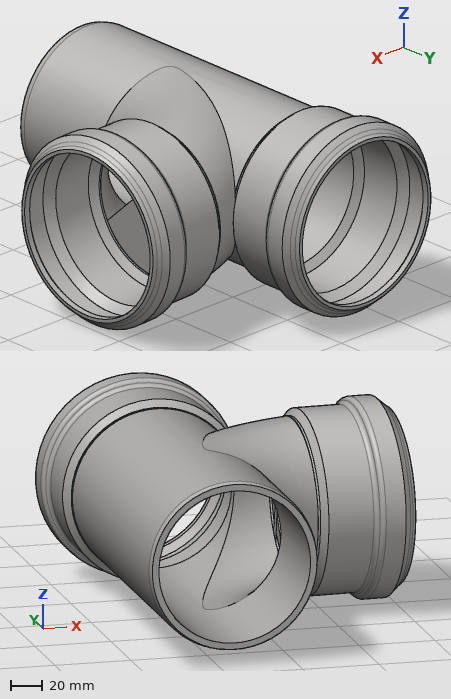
import cadquery as cq
import math

run_length = 260.5
pipe_radius = 110.5 / 2
bore_radius = 99.8 / 2
wall = pipe_radius - bore_radius
spigot_chamfer_length = 4.5
spigot_chamfer_depth = 1.0

neck_radius = 111.2 / 2
barrel_radius = 120.4 / 2
bead_radius = 129.7 / 2
socket_bore_radius = 110.7 / 2
groove_radius = 120.4 / 2
mouth_radius = 57.8
mouth_step_radius = 59.5
mouth_step_depth = 2.3
lip_radius = 61.5
lip_depth = 4.7
bead_start = 8.5
bead_end = 22.0
barrel_start = 28.7
barrel_end = 58.5
neck_start = 62.8
socket_length = 64.3

branch_tilt = 2.5
branch_height = 146.7
branch_length = 141.7

bend_center_x = 112.0
bend_center_y = 32.5
bend_radius = 123.0
bend_half_width = 53.5
bend_half_depth = 110.2 / 2
bend_start_angle = 65.0

tilt = math.radians(branch_tilt)
branch_direction = cq.Vector(math.cos(tilt), math.sin(tilt), 0)
branch_root = cq.Vector(0, branch_height, 0)
branch_mouth = branch_root + branch_direction * branch_length
branch_neck = branch_root + branch_direction * (branch_length - socket_length)


def turned(outline):
    """Solid turned about Y from an open outline in the XY plane that starts and ends on the axis."""
    return outline.close().revolve(360, (0, 0, 0), (0, 1, 0))


def socket_outside():
    """Outer body of a socket along Y, with its mouth at Y = 0 and its neck below."""
    shoulder_middle = ((bead_radius + barrel_radius) / 2, -(bead_end + barrel_start) / 2)
    return turned(
        cq.Workplane("XY")
        .lineTo(mouth_radius, 0)
        .lineTo(mouth_step_radius, -mouth_step_depth)
        .lineTo(lip_radius, -lip_depth)
        .lineTo(bead_radius, -bead_start)
        .lineTo(bead_radius, -bead_end)
        .tangentArcPoint(shoulder_middle, relative=False)
        .tangentArcPoint((barrel_radius, -barrel_start), relative=False)
        .lineTo(barrel_radius, -barrel_end)
        .lineTo(neck_radius, -neck_start)
        .lineTo(neck_radius, -socket_length)
        .lineTo(0, -socket_length)
    )


def socket_inside():
    """Cavity of a socket: seal groove under the bead, plain bore, and a cone down to the pipe bore."""
    return turned(cq.Workplane("XY").polyline([
        (0, 0),
        (socket_bore_radius, 0),
        (socket_bore_radius, -lip_depth),
        (groove_radius, -bead_start),
        (groove_radius, -bead_end),
        (socket_bore_radius, -barrel_start),
        (socket_bore_radius, -barrel_end),
        (bore_radius, -neck_start),
        (bore_radius, -socket_length),
        (0, -socket_length),
    ]))


def on_run(socket):
    """Place a socket at the top end of the run."""
    return socket.translate((0, run_length, 0))


def on_branch(socket):
    """Turn a socket from Y to the branch direction and place it at the branch mouth."""
    return socket.rotate((0, 0, 0), (0, 0, 1), branch_tilt - 90).translate(branch_mouth)


def bend(inset):
    """Bend from inside the run up to the branch neck, with its section shrunk by the inset."""
    start = math.radians(bend_start_angle)
    outward = cq.Vector(-math.sin(start), math.cos(start), 0)
    center = cq.Vector(bend_center_x, bend_center_y, 0)
    section_plane = cq.Plane(
        origin=center + outward * bend_radius,
        xDir=outward,
        normal=(math.cos(start), math.sin(start), 0),
    )
    body = (
        cq.Workplane(section_plane)
        .ellipse(bend_half_width - inset, bend_half_depth - inset)
        .revolve(bend_start_angle, (-bend_radius, 2.5, 0), (-bend_radius, 0, 0))
    )
    neck_plane = cq.Plane(origin=branch_neck, xDir=(0, 0, 1), normal=branch_direction)
    beyond_neck = cq.Workplane(neck_plane).rect(run_length, run_length).extrude(run_length)
    return body.cut(beyond_neck)


run_outside = turned(cq.Workplane("XY").polyline([
    (0, 0),
    (pipe_radius - spigot_chamfer_depth, 0),
    (pipe_radius, spigot_chamfer_length),
    (pipe_radius, run_length - socket_length),
    (0, run_length - socket_length),
]))
run_bore = cq.Workplane("XZ").circle(bore_radius).extrude(-run_length)

outside = (
    run_outside
    .union(on_run(socket_outside()))
    .union(bend(0))
    .union(on_branch(socket_outside()))
)
result = (
    outside
    .cut(run_bore)
    .cut(on_run(socket_inside()))
    .cut(bend(wall))
    .cut(on_branch(socket_inside()))
)